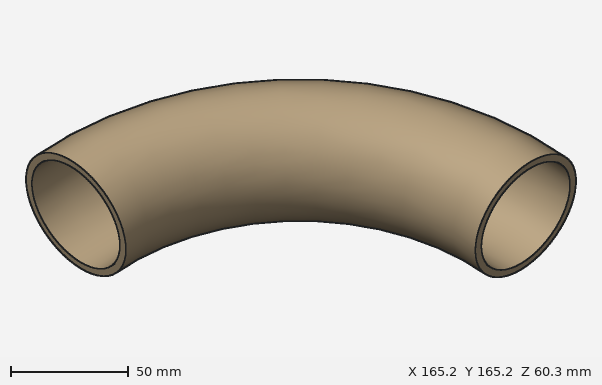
import cadquery as cq

overall_reach = 165.2
outer_diameter = 60.3
wall_thickness = 3.6
bend_angle = 90.0

outer_radius = outer_diameter / 2
inner_radius = outer_radius - wall_thickness
bend_radius = overall_reach - outer_radius


def pipe_section():
    """Ring at the end that opens toward -Y, centred on the pipe axis."""
    return (
        cq.Workplane("XZ")
        .center(-bend_radius, 0)
        .circle(outer_radius)
        .circle(inner_radius)
    )


bend_axis_start = (bend_radius, 0)
bend_axis_end = (bend_radius, -1)
result = pipe_section().revolve(bend_angle, bend_axis_start, bend_axis_end)